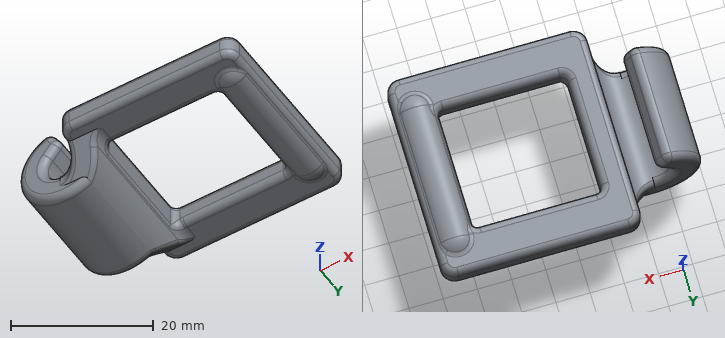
import cadquery as cq
import math

total_length = 39.53
frame_start = 10.48
frame_width = 30.0
frame_thickness = 4.05
frame_corner_radius = 2.0
frame_edge_radius = 1.03
frame_length = total_length - frame_start
frame_bottom = -frame_thickness / 2

window_start = 14.65
window_end = 33.7
window_width = 17.95
window_rim_radius = 1.1
window_corner_radius = 1.0

bar_radius = 3.0
bar_dome_y = 9.95
bar_blend_radius = 1.0
bar_x = total_length - bar_radius

hook_radius = 7.5
hook_width = 17.55
hook_axis = (hook_radius, -0.08)
upper_radius = 7.2
upper_axis = (upper_radius, hook_axis[1])
bore_radius = 3.1
bore_axis = (frame_start - bore_radius, -0.05)
hook_edge_radius = 1.2

tip_angle = 106
tip_radius = 1.1
lip_angle = 140.0
lip_length = 2.93

neck_blend_radius = 1.98
neck_edge_radius = 0.95
neck_inner_edge_radius = 0.8
flare_radius = 3.48
flank_reach = 14.55
neck_half_width = frame_width / 2 - frame_corner_radius
flare_start = frame_start - flare_radius
flare_end_y = hook_width / 2 + flare_radius


def on_circle(center, radius, degrees):
    angle = math.radians(degrees)
    return (center[0] + radius * math.cos(angle), center[1] + radius * math.sin(angle))


blend_z = frame_bottom - neck_blend_radius
blend_angle = math.degrees(math.asin((blend_z - hook_axis[1]) / (hook_radius + neck_blend_radius)))
blend_center = on_circle(hook_axis, hook_radius + neck_blend_radius, blend_angle)


def mirrored_box(low, high):
    """Selector for edges centred in the box or in its mirror image across Y = 0."""
    low_mirror = (low[0], -high[1], low[2])
    high_mirror = (high[0], -low[1], high[2])
    return cq.selectors.BoxSelector(low, high) + cq.selectors.BoxSelector(low_mirror, high_mirror)


def make_plate():
    plate = (
        cq.Workplane("XY")
        .box(frame_length, frame_width, frame_thickness, centered=(False, True, True))
        .translate((frame_start, 0, 0))
    )
    plate = plate.edges("|Z").fillet(frame_corner_radius)
    return plate.faces("<Z or >Z").edges().fillet(frame_edge_radius)


def hook_profile(width):
    """Side outline of hook and neck, extruded to the given width about Y = 0."""
    lip_start = on_circle(bore_axis, bore_radius, lip_angle)
    lip_end = on_circle(lip_start, lip_length, lip_angle - 90)
    blend_middle = on_circle(blend_center, neck_blend_radius, (90 + 180 + blend_angle) / 2)
    return (
        cq.Workplane("XZ", origin=(0, width / 2, 0))
        .moveTo(*on_circle(upper_axis, upper_radius, tip_angle))
        .threePointArc(
            on_circle(upper_axis, upper_radius, (tip_angle + 180) / 2),
            on_circle(hook_axis, hook_radius, 180),
        )
        .threePointArc(
            on_circle(hook_axis, hook_radius, 225),
            on_circle(hook_axis, hook_radius, blend_angle),
        )
        .threePointArc(blend_middle, (blend_center[0], frame_bottom))
        .lineTo(blend_center[0], bore_axis[1])
        .lineTo(frame_start, bore_axis[1])
        .threePointArc(on_circle(bore_axis, bore_radius, 250), lip_start)
        .lineTo(*lip_end)
        .close()
        .extrude(width)
    )


def make_hook():
    hook = hook_profile(hook_width)
    tip_box = cq.selectors.BoxSelector((0, -0.4, bore_radius), (frame_start, 0.4, hook_radius))
    hook = hook.edges(tip_box).fillet(tip_radius)
    outer_arc = mirrored_box(
        (0, hook_width / 2 - 0.4, -hook_radius),
        (frame_start, hook_width, -bore_radius),
    )
    return hook.edges(outer_arc).edges("%CIRCLE").fillet(hook_edge_radius)


def flare_prism():
    """Upright prism with the plan of the neck, widened by an arc on each side."""
    half = hook_width / 2
    end_x = blend_center[0]
    arc_x, arc_y = on_circle((flare_start, flare_end_y), flare_radius, -45)
    return (
        cq.Workplane("XY", origin=(0, 0, -hook_radius - 0.4))
        .moveTo(flare_start, -half)
        .threePointArc((arc_x, -arc_y), (frame_start, -flare_end_y))
        .lineTo(frame_start, -neck_half_width)
        .lineTo(end_x, -neck_half_width)
        .lineTo(end_x, neck_half_width)
        .lineTo(frame_start, neck_half_width)
        .lineTo(frame_start, flare_end_y)
        .threePointArc((arc_x, arc_y), (flare_start, half))
        .close()
        .extrude(2 * hook_radius)
    )


def flank_prism():
    """Prism along X whose two lower faces are the 45 degree flanks of the neck."""
    flank_top = neck_half_width - flank_reach
    return (
        cq.Workplane("YZ")
        .moveTo(0, -flank_reach)
        .lineTo(neck_half_width, flank_top)
        .lineTo(neck_half_width, frame_thickness)
        .lineTo(-neck_half_width, frame_thickness)
        .lineTo(-neck_half_width, flank_top)
        .close()
        .extrude(total_length)
    )


def make_neck():
    neck = hook_profile(frame_width).intersect(flare_prism()).intersect(flank_prism())
    flank_edges = mirrored_box(
        (flare_start + 0.4, bar_radius, -hook_radius),
        (window_start - 0.4, flare_end_y, -bore_radius - 0.4),
    )
    rim_edges = mirrored_box(
        (flare_start + 0.4, bar_radius, -bore_radius),
        (frame_start - 0.4, flare_end_y, bore_axis[1]),
    )
    neck = neck.edges(flank_edges).fillet(neck_edge_radius)
    return neck.edges(rim_edges).fillet(neck_inner_edge_radius)


def make_window():
    length = window_end - window_start
    window = (
        cq.Workplane("XY")
        .box(length, window_width, 2 * hook_radius, centered=(False, True, True))
        .translate((window_start, 0, 0))
    )
    return window.edges("|Z").fillet(window_corner_radius)


def round_window_rims(body):
    half = window_width / 2
    rims = [
        cq.selectors.BoxSelector(
            (window_start - 0.2, -half - 0.2, low),
            (window_end + 0.2, half + 0.2, high),
        )
        for low, high in ((-bore_radius, frame_bottom + 0.05), (-frame_bottom - 0.05, bore_radius))
    ]
    return body.edges(rims[0]).fillet(window_rim_radius).edges(rims[1]).fillet(window_rim_radius)


def make_bar():
    bar = (
        cq.Workplane("XZ", origin=(bar_x, bar_dome_y, 0))
        .circle(bar_radius)
        .extrude(2 * bar_dome_y)
    )
    for y in (-bar_dome_y, bar_dome_y):
        bar = bar.union(cq.Workplane("XY").sphere(bar_radius).translate((bar_x, y, 0)))
    return bar


def blend_domes(body):
    """Concave fillet where each bar dome meets the flat faces of the frame."""
    feet = [
        mirrored_box(
            (bar_x - bar_radius, bar_dome_y + 0.4, z - 0.05),
            (bar_x + 0.4, neck_half_width, z + 0.05),
        )
        for z in (frame_bottom, -frame_bottom)
    ]
    return body.edges(feet[0] + feet[1]).edges("%CIRCLE").fillet(bar_blend_radius)


frame = make_plate().union(make_hook()).union(make_neck()).cut(make_window())
frame = round_window_rims(frame)
result = blend_domes(frame.union(make_bar()))